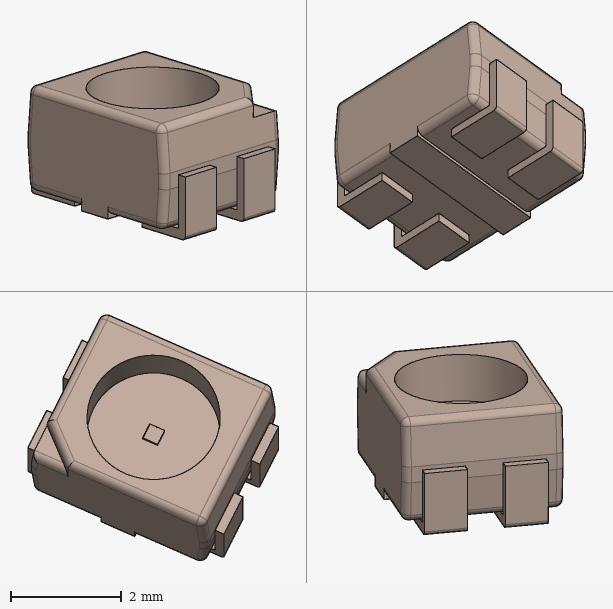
import cadquery as cq
import math

overall_length = 3.92
overall_height = 2.18
housing_width = 3.0
lead_thickness = 0.175
foot_thickness = 0.192
rear_lead_inset = 0.008
housing_half_length = overall_length / 2 - lead_thickness - rear_lead_inset
housing_bottom = foot_thickness
edge_radius = 0.15
draft_angle = 5.0
waist_bottom = 0.98
waist_top = 1.285

notch_floor = 1.823
notch_start_x = 0.995
notch_angle = 42.7

cup_diameter = 2.4
cup_depth = 0.9
cup_center_y = -0.015
chip_size = 0.298
chip_height = 0.05

rib_length = 0.675
rib_bottom = 0.115
rib_top = housing_bottom + edge_radius

lead_width = 0.8
lead_pitch = 1.497
lead_height = 1.207
foot_length = 1.105
bend_outer_radius = 0.075
bend_inner_radius = 0.03


def wall_x(z):
    """Half length of the housing at height z."""
    lean = max(waist_bottom - z, 0, z - waist_top)
    return housing_half_length - lean * math.tan(math.radians(draft_angle))


def drafted_block(top):
    """Sharp-edged block with drafted ends, reaching from the housing bottom up to top."""
    right_side = [(wall_x(z), z) for z in (housing_bottom, waist_bottom, waist_top, top)]
    left_side = [(-x, z) for x, z in reversed(right_side)]
    return (
        cq.Workplane("XZ")
        .polyline(right_side + left_side)
        .close()
        .extrude(housing_width / 2, both=True)
    )


def notch_cutter():
    """Triangular prism that removes the +X +Y corner over the full height."""
    half_width = housing_width / 2
    notch_run = overall_length / 2 - notch_start_x
    notch_end_y = half_width - notch_run * math.tan(math.radians(notch_angle))
    return (
        cq.Workplane("XY")
        .polyline([
            (notch_start_x, half_width),
            (overall_length / 2, notch_end_y),
            (overall_length / 2, half_width),
        ])
        .close()
        .extrude(overall_height)
    )


def rounded_shell():
    """Rounded housing block with the stepped corner notch."""
    outer_form = drafted_block(overall_height).edges("<Y or >Y or <Z or >Z").fillet(edge_radius)
    notched_form = (
        drafted_block(overall_height)
        .cut(notch_cutter())
        .faces(">Z").edges()
        .fillet(edge_radius)
    )
    lower_block = drafted_block(notch_floor).faces("<Y or >Y or <Z").edges().fillet(edge_radius)
    return outer_form.intersect(notched_form).union(lower_block)


def box_between(length, width, bottom, top):
    """Box centred on the Z axis between two heights."""
    return cq.Workplane("XY").workplane(offset=bottom).rect(length, width).extrude(top - bottom)


def make_housing():
    """Housing with reflector cup, chip on the cup floor and rib underneath."""
    cup_floor = overall_height - cup_depth
    cup = (
        cq.Workplane("XY", origin=(0, cup_center_y, cup_floor))
        .circle(cup_diameter / 2)
        .extrude(cup_depth)
    )
    chip = (
        box_between(chip_size, chip_size, cup_floor, cup_floor + chip_height)
        .translate((0, cup_center_y, 0))
    )
    rib = box_between(rib_length, housing_width, rib_bottom, rib_top)
    return rounded_shell().union(rib).cut(cup).union(chip)


def make_lead(side, outer_x, center_y):
    """L-shaped lead on the +X (side = 1) or -X (side = -1) end, foot pointing inward."""
    inner_x = outer_x - lead_thickness
    foot_end_x = outer_x - foot_length
    profile = [
        (outer_x, 0),
        (outer_x, lead_height),
        (inner_x, lead_height),
        (inner_x, foot_thickness),
        (foot_end_x, foot_thickness),
        (foot_end_x, 0),
    ]
    lead = (
        cq.Workplane("XZ", origin=(0, center_y, 0))
        .polyline([(side * x, z) for x, z in profile])
        .close()
        .extrude(lead_width / 2, both=True)
    )
    outer_bend = cq.NearestToPointSelector((side * outer_x, center_y, 0))
    inner_bend = cq.NearestToPointSelector((side * inner_x, center_y, foot_thickness))
    return (
        lead
        .edges("|Y").edges(outer_bend).fillet(bend_outer_radius)
        .edges("|Y").edges(inner_bend).fillet(bend_inner_radius)
    )


housing = make_housing()

leads = []
for side in (-1, 1):
    for row in (-1, 1):
        outer_x = overall_length / 2
        if side == -1 and row == 1:
            outer_x -= rear_lead_inset
        leads.append(make_lead(side, outer_x, row * lead_pitch / 2))

result = cq.Compound.makeCompound([housing.val(), *[lead.val() for lead in leads]])